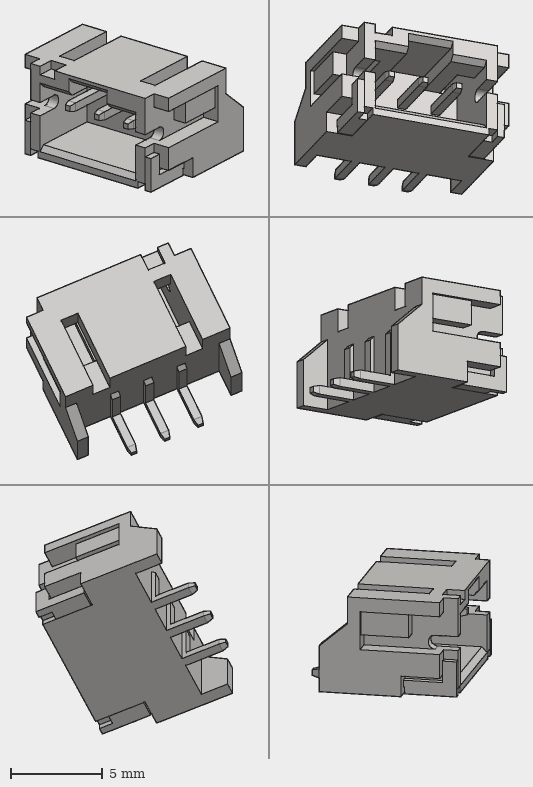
import cadquery as cq


width = 9.9
height = 5.5
body_back = 6.0
ear_back = 7.58
ear_width = 0.66
ear_slope_low = 2.61
ear_slope_high = 3.97

flange_width = 1.0
flange_front = 0.81
lower_flange_top = 2.54
upper_flange_bottom = 4.7
window_back = 5.29
bump_front = 2.59
bump_bottom = 3.34
bump_width = 0.79

cavity_width = 6.59
cavity_floor = 0.71
cavity_roof = 4.2
cavity_back = 4.24
key_width = 2.63
key_roof = 4.99
entry_chamfer = 0.31

side_slot_bottom = lower_flange_top
side_slot_top = bump_bottom
side_slot_depth = 1.67
top_slot_width = 1.01
top_slot_front = 1.76
mark_notch_length = 1.01
mark_notch_depth = 0.5

clip_thickness = 0.4
clip_length = 2.99
clip_arm_height = 0.78
clip_post_length = 0.79
clip_post_height = 2.01
clip_foot_reach = 0.5
clip_foot_back = 2.91
clip_recess_height = 1.18

pin_count = 3
pin_pitch = 2.0
pin_size = 0.495
pin_tip_size = 0.32
pin_height = 3.07
pin_front = 0.79
pin_front_taper = 0.4
pin_leg_back = 6.25
pin_bend_chamfer = 0.4
pin_back = 8.6
pin_back_taper = 0.37


def box(x_range, y_range, z_range):
    """Axis-aligned block between the given limits."""
    (x0, x1), (y0, y1), (z0, z1) = x_range, y_range, z_range
    return cq.Workplane("XY").box(x1 - x0, y1 - y0, z1 - z0, centered=False).translate((x0, y0, z0))


def extrude_profile(points, x_start, x_end):
    """Extrude a (Y, Z) outline from x_start to x_end."""
    return cq.Workplane("YZ").polyline(points).close().extrude(x_end - x_start).translate((x_start, 0, 0))


def mirrored(shape):
    """The shape together with its mirror image across the X = 0 plane."""
    return shape.union(shape.mirror("YZ"))


half_width = width / 2
wall_outside = half_width - flange_width
cavity_half = cavity_width / 2


def make_envelope():
    profile = [
        (0, 0),
        (ear_back, 0),
        (ear_back, ear_slope_low),
        (body_back, ear_slope_high),
        (body_back, height),
        (0, height),
    ]
    body = extrude_profile(profile, -half_width, half_width)
    ear_inside = half_width - ear_width
    return body.cut(box((-ear_inside, ear_inside), (body_back, ear_back), (0, height)))


def make_flange_cuts():
    """Left side: front step, side window around its bump, and the clip recess."""
    x_range = (-half_width, -wall_outside)
    front_step = box(x_range, (0, flange_front), (0, height))
    window = box(x_range, (0, window_back), (lower_flange_top, upper_flange_bottom))
    bump = box(
        (-wall_outside - bump_width, -wall_outside),
        (bump_front, window_back),
        (bump_bottom, upper_flange_bottom),
    )
    clip_recess = box(x_range, (0, clip_length), (0, clip_recess_height))
    foot_notch = box(
        (-wall_outside, -wall_outside + clip_foot_reach),
        (0, clip_length),
        (0, clip_thickness),
    )
    return mirrored(front_step.union(window.cut(bump)).union(clip_recess).union(foot_notch))


def make_cavity():
    """Keyed cavity; its floor and roofs are chamfered at the mating face."""
    main_profile = [
        (0, cavity_floor - entry_chamfer),
        (entry_chamfer, cavity_floor),
        (cavity_back, cavity_floor),
        (cavity_back, cavity_roof),
        (entry_chamfer, cavity_roof),
        (0, cavity_roof + entry_chamfer),
    ]
    key_profile = [
        (0, cavity_floor),
        (cavity_back, cavity_floor),
        (cavity_back, key_roof),
        (entry_chamfer, key_roof),
        (0, key_roof + entry_chamfer),
    ]
    main = extrude_profile(main_profile, -cavity_half, cavity_half)
    key = extrude_profile(key_profile, -key_width / 2, key_width / 2)
    return main.union(key)


def make_side_slots():
    """Round-ended slots through both cavity walls, open at the mating face."""
    radius = (side_slot_top - side_slot_bottom) / 2
    centre_y = side_slot_depth - radius
    return (
        cq.Workplane("YZ")
        .moveTo(0, side_slot_bottom)
        .lineTo(centre_y, side_slot_bottom)
        .threePointArc((side_slot_depth, side_slot_bottom + radius), (centre_y, side_slot_top))
        .lineTo(0, side_slot_top)
        .close()
        .extrude(wall_outside, both=True)
    )


def make_top_cuts():
    """Two slots through the roof, open at the back, and a marking notch in front."""
    x_range = (-cavity_half, -cavity_half + top_slot_width)
    slots = mirrored(box(x_range, (top_slot_front, body_back), (cavity_roof, height)))
    mark = box(x_range, (0, mark_notch_length), (height - mark_notch_depth, height))
    return slots.union(mark)


def make_pin_tip(x, y, z, direction, length):
    """Tapered square tip growing from (x, y, z) along +Y or -Y (direction 1 or -1)."""
    base = cq.Plane(origin=(x, y, z), xDir=(1, 0, 0), normal=(0, direction, 0))
    return (
        cq.Workplane(base)
        .rect(pin_size, pin_size)
        .workplane(offset=length)
        .rect(pin_tip_size, pin_tip_size)
        .loft()
    )


def make_pin(x):
    """Square wire: mating end, leg down the back of the housing, and solder tail."""
    mating_start = pin_front + pin_front_taper
    tail_end = pin_back - pin_back_taper
    top = pin_height + pin_size / 2
    profile = [
        (mating_start, top),
        (pin_leg_back - pin_bend_chamfer, top),
        (pin_leg_back, top - pin_bend_chamfer),
        (pin_leg_back, pin_size),
        (tail_end, pin_size),
        (tail_end, 0),
        (pin_leg_back - pin_size, 0),
        (pin_leg_back - pin_size, top - pin_size),
        (mating_start, top - pin_size),
    ]
    wire = extrude_profile(profile, x - pin_size / 2, x + pin_size / 2)
    front_tip = make_pin_tip(x, mating_start, pin_height, -1, pin_front_taper)
    back_tip = make_pin_tip(x, tail_end, pin_size / 2, 1, pin_back_taper)
    return wire.union(front_tip).union(back_tip)


def make_housing():
    """Housing with the contact pins moulded in as one body."""
    housing = make_envelope().cut(make_flange_cuts()).cut(make_cavity())
    housing = housing.cut(make_side_slots()).cut(make_top_cuts())
    for i in range(pin_count):
        housing = housing.union(make_pin((i - (pin_count - 1) / 2) * pin_pitch))
    return housing


def make_clip(side):
    """Hold-down clip on the -X side (side -1) or the +X side (side 1)."""
    profile = [
        (0, 0),
        (clip_foot_back, 0),
        (clip_foot_back, clip_thickness),
        (clip_length, clip_thickness),
        (clip_length, clip_arm_height),
        (clip_post_length, clip_arm_height),
        (clip_post_length, clip_post_height),
        (0, clip_post_height),
    ]
    plate = extrude_profile(profile, wall_outside, wall_outside + clip_thickness)
    foot = box(
        (wall_outside - clip_foot_reach, wall_outside),
        (clip_post_length, clip_foot_back),
        (0, clip_thickness),
    )
    clip = plate.union(foot)
    return clip if side > 0 else clip.mirror("YZ")


housing = make_housing()
clips = [make_clip(side) for side in (-1, 1)]

result = cq.Compound.makeCompound([housing.val(), *[clip.val() for clip in clips]])